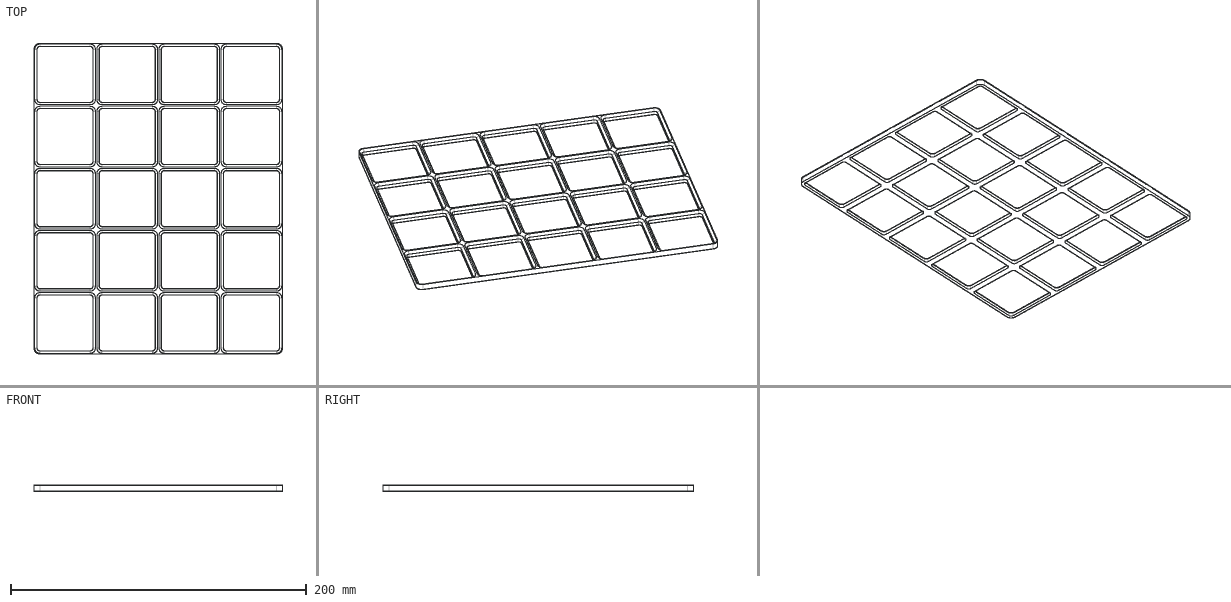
import cadquery as cq

cell_pitch = 42.0
columns = 4
rows = 5
height = 4.2
corner_radius = 4.0

land_width = 1.0
slope_depth = 1.65
slope_angle = 45

mouth_size = cell_pitch - land_width
mouth_radius = corner_radius - land_width / 2

throat_size = mouth_size - 2 * slope_depth
throat_radius = mouth_radius - slope_depth


def rounded_square(size, radius, level):
    """Square with rounded corners, placed on a horizontal plane at the given level."""
    outline = cq.Sketch().rect(size, size).vertices().fillet(radius)
    return cq.Workplane("XY", origin=(0, 0, level)).placeSketch(outline)


def make_plate():
    plate = cq.Workplane("XY").box(
        columns * cell_pitch, rows * cell_pitch, height, centered=(True, True, False)
    )
    return plate.edges("|Z").fillet(corner_radius)


def make_cell_cutter():
    """Through opening: straight throat below, flaring outward to the top face."""
    throat = rounded_square(throat_size, throat_radius, 0).extrude(height - slope_depth)
    flare = rounded_square(mouth_size, mouth_radius, height).extrude(-slope_depth, taper=slope_angle)
    return throat.union(flare)


def cut_cells(plate):
    cutter = make_cell_cutter()
    for column in range(columns):
        for row in range(rows):
            x = (column - (columns - 1) / 2) * cell_pitch
            y = (row - (rows - 1) / 2) * cell_pitch
            plate = plate.cut(cutter.translate((x, y, 0)))
    return plate


result = cut_cells(make_plate())